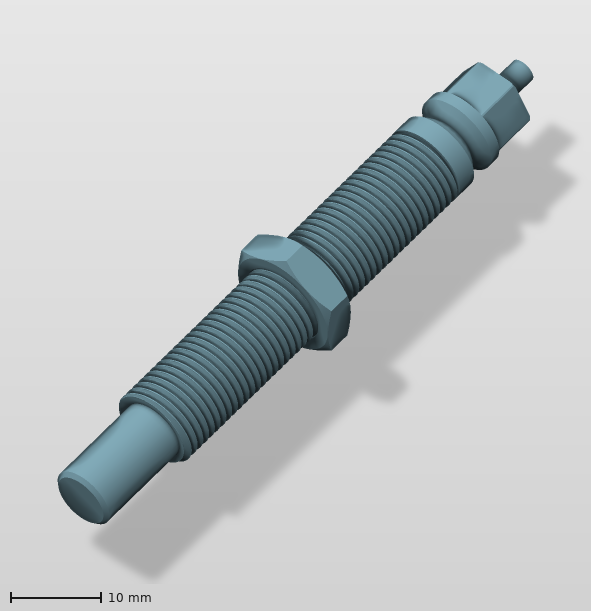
import cadquery as cq
import math

overall_length = 76.5

tip_length = 12.55
tip_diameter = 7.5
tip_face_diameter = 6.5
tip_bevel_length = 0.45

thread_length = 47.0
thread_turns = 47
thread_diameter = 10.0
thread_root_diameter = 8.7
thread_flank_angle = 30.0
thread_start_angle = 150.0
thread_pitch = thread_length / thread_turns
crest_share_of_pitch = 1 / 8

shoulder_length = 2.5
waist_length = 3.0
collar_length = 1.4

cap_length = 5.6
cap_across_flats = 8.65
cap_corner_diameter = 9.9
cap_corner_bevel = 0.15

cable_diameter = 3.0

nut_across_flats = 13.0
nut_thickness = 4.0
nut_start = 34.95
nut_bore_diameter = 10.2
nut_face_diameter = 12.9
nut_bevel_angle = 30.0

thread_start = tip_length
thread_end = thread_start + thread_length
waist_start = thread_end + shoulder_length
waist_end = waist_start + waist_length
cap_start = waist_end + collar_length
cap_end = cap_start + cap_length


def hexagon_corners(across_flats):
    return across_flats / math.cos(math.pi / 6)


def lay_along_y(workplane):
    return workplane.rotate((0, 0, 0), (1, 0, 0), -90)


def sensing_tip():
    bevel_width = (tip_diameter - tip_face_diameter) / 2
    return (
        cq.Workplane("XY")
        .circle(tip_diameter / 2)
        .extrude(tip_length)
        .faces("<Z")
        .chamfer(tip_bevel_length, bevel_width)
    )


def polar_point(radius, degrees):
    angle = math.radians(degrees)
    return (radius * math.cos(angle), radius * math.sin(angle))


def spiral(start_radius, start_angle, end_radius, end_angle):
    def point_at(t):
        radius = start_radius + (end_radius - start_radius) * t
        return polar_point(radius, start_angle + (end_angle - start_angle) * t)

    return point_at


def thread_turn():
    """One turn of thread: its cross-section of crest arc, root arc and two spirals, twisted."""
    crest_radius = thread_diameter / 2
    root_radius = thread_root_diameter / 2
    flank_slope = math.tan(math.radians(thread_flank_angle))
    flank_sweep = 360 * (crest_radius - root_radius) * flank_slope / thread_pitch
    half_crest = 360 * crest_share_of_pitch / 2
    half_foot = half_crest + flank_sweep
    return (
        cq.Workplane("XY")
        .moveTo(*polar_point(crest_radius, -half_crest))
        .threePointArc((crest_radius, 0), polar_point(crest_radius, half_crest))
        .parametricCurve(
            spiral(crest_radius, half_crest, root_radius, half_foot), N=8, makeWire=False
        )
        .threePointArc((-root_radius, 0), polar_point(root_radius, -half_foot))
        .parametricCurve(
            spiral(root_radius, -half_foot, crest_radius, -half_crest), N=8, makeWire=False
        )
        .wire()
        .twistExtrude(thread_pitch, 360)
        .rotate((0, 0, 0), (0, 0, 1), thread_start_angle)
        .translate((0, 0, thread_start))
    )


def threaded_rod():
    """The side faces of one turn, repeated along the rod and closed by a flat face at each end."""
    turn = thread_turn()
    last_turn_rise = cq.Vector(0, 0, thread_length - thread_pitch)
    faces = [turn.faces("<Z").val(), turn.faces(">Z").val().translate(last_turn_rise)]
    sides = [face for face in turn.faces().vals() if face.geomType() != "PLANE"]
    for index in range(thread_turns):
        rise = cq.Vector(0, 0, index * thread_pitch)
        faces.extend(side.translate(rise) for side in sides)
    return cq.Workplane(obj=cq.Solid.makeSolid(cq.Shell.makeShell(faces)))


def waisted_collar():
    """Plain shoulder and rear collar, parted by a 45 degree V-shaped waist."""
    outer_radius = thread_diameter / 2
    waist_depth = waist_length / 2
    return (
        cq.Workplane("XZ")
        .polyline([
            (0, thread_end),
            (outer_radius, thread_end),
            (outer_radius, waist_start),
            (outer_radius - waist_depth, waist_start + waist_depth),
            (outer_radius, waist_end),
            (outer_radius, cap_start),
            (0, cap_start),
        ])
        .close()
        .revolve(360, (0, 0), (0, 1))
    )


def hexagonal_cap():
    """Hexagon with corners on the X axis, trimmed by a cylinder bevelled at its rear end."""
    hexagon = (
        cq.Workplane("XY", origin=(0, 0, cap_start))
        .polygon(6, hexagon_corners(cap_across_flats))
        .extrude(cap_length)
    )
    envelope = (
        cq.Workplane("XY", origin=(0, 0, cap_start))
        .circle(cap_corner_diameter / 2)
        .extrude(cap_length)
        .faces(">Z")
        .chamfer(cap_corner_bevel)
    )
    return hexagon.intersect(envelope)


def cable():
    return (
        cq.Workplane("XY", origin=(0, 0, cap_end))
        .circle(cable_diameter / 2)
        .extrude(overall_length - cap_end)
    )


def make_sensor():
    sensor = threaded_rod()
    for section in (sensing_tip(), waisted_collar(), hexagonal_cap(), cable()):
        sensor = sensor.union(section, clean=False)
    return lay_along_y(sensor)


def make_nut():
    """Plain-bored hexagon nut with corners on the Z axis and both faces bevelled."""
    corner_diameter = hexagon_corners(nut_across_flats)
    bevel_width = (corner_diameter - nut_face_diameter) / 2
    bevel_height = bevel_width * math.tan(math.radians(nut_bevel_angle))
    hexagon = (
        cq.Workplane("XY", origin=(0, 0, nut_start))
        .polygon(6, corner_diameter)
        .extrude(nut_thickness)
        .rotate((0, 0, 0), (0, 0, 1), 30)
    )
    envelope = (
        cq.Workplane("XY", origin=(0, 0, nut_start))
        .circle(corner_diameter / 2)
        .circle(nut_bore_diameter / 2)
        .extrude(nut_thickness)
        .edges(cq.selectors.RadiusNthSelector(-1))
        .chamfer(bevel_height, bevel_width)
    )
    return lay_along_y(hexagon.intersect(envelope))


sensor = make_sensor()
nut = make_nut()
result = cq.Compound.makeCompound([sensor.val(), nut.val()])